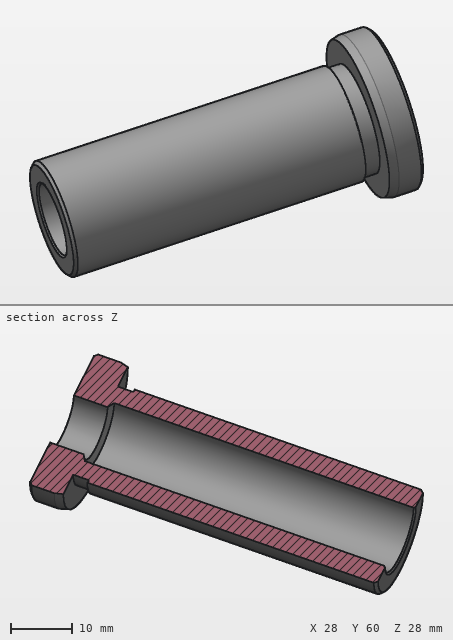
import cadquery as cq
import math

length = 60.0
head_diameter = 28.0
head_length = 6.0
shaft_diameter = 20.0
neck_diameter = 18.9
neck_length = 2.7

edge_chamfer = 0.55
head_front_bevel_length = 1.5
head_front_bevel_depth = 0.4

bore_diameter = 12.3
head_hole_diameter = 9.95
bore_chamfer = 0.3
cone_half_angle = 60.0

front_y = -length / 2
back_y = length / 2
head_front_y = back_y - head_length
neck_front_y = head_front_y - neck_length
head_radius = head_diameter / 2
shaft_radius = shaft_diameter / 2
neck_radius = neck_diameter / 2
bore_radius = bore_diameter / 2
head_hole_radius = head_hole_diameter / 2
cone_length = (bore_radius - head_hole_radius) / math.tan(math.radians(cone_half_angle))

half_section = [
    (bore_radius + bore_chamfer, front_y),
    (shaft_radius - edge_chamfer, front_y),
    (shaft_radius, front_y + edge_chamfer),
    (shaft_radius, neck_front_y),
    (neck_radius, neck_front_y),
    (neck_radius, head_front_y),
    (head_radius - head_front_bevel_depth, head_front_y),
    (head_radius, head_front_y + head_front_bevel_length),
    (head_radius, back_y - edge_chamfer),
    (head_radius - edge_chamfer, back_y),
    (head_hole_radius, back_y),
    (head_hole_radius, head_front_y),
    (bore_radius, head_front_y - cone_length),
    (bore_radius, front_y + bore_chamfer),
]

result = (
    cq.Workplane("XY")
    .polyline(half_section)
    .close()
    .revolve(360, (0, 0, 0), (0, 1, 0))
)